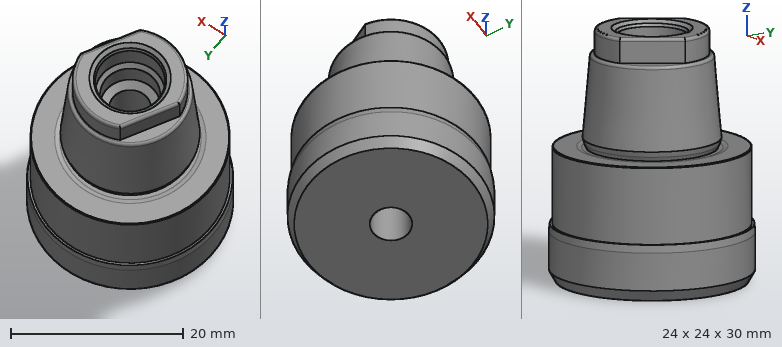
import cadquery as cq
import math

height = 29.95
base_chamfer_height = 1.35
band_top = 5.87
band_taper_top = 6.77
shoulder_height = 15.93
neck_lower_edge = 16.35
neck_widest_height = 16.98
neck_top = 26.95

base_radius = 11.23
band_radius = 12.0
band_taper_radius = 11.9
body_radius = 11.6
neck_lower_edge_radius = 7.9
neck_foot_radius = 7.67
neck_widest_radius = 8.1
neck_top_radius = 7.22
head_radius = 6.68

shoulder_chamfer = 0.12
neck_rounding = 0.4
head_rounding = 0.4

recess_outer_radius = 8.78
recess_inner_radius = 8.2
recess_depth = 0.12

flat_distance = 11.0
flat_angle = 150.0

entry_radius = 4.73
entry_neck_radius = 4.22
entry_neck_depth = 0.4
counterbore_radius = 4.05
entry_depth = 0.75
counterbore_depth = 3.45
mid_bore_radius = 3.5
mid_bore_depth = 6.6
through_radius = 2.45
drill_cone_slope = 30.0


def revolve_profile(points):
    """Revolve (radius, height) points about the Z axis."""
    return cq.Workplane("XZ").polyline(points).close().revolve(360, (0, 0), (0, 1))


def make_body():
    recess_floor = shoulder_height - recess_depth
    body = revolve_profile([
        (0, 0),
        (base_radius, 0),
        (band_radius, base_chamfer_height),
        (band_radius, band_top),
        (band_taper_radius, band_taper_top),
        (body_radius, band_taper_top),
        (body_radius, shoulder_height - shoulder_chamfer),
        (body_radius - shoulder_chamfer, shoulder_height),
        (recess_outer_radius, shoulder_height),
        (recess_inner_radius, recess_floor),
        (neck_foot_radius, recess_floor),
        (neck_lower_edge_radius, neck_lower_edge),
        (neck_widest_radius, neck_widest_height),
        (neck_top_radius, neck_top),
        (0, neck_top),
    ])
    return body.faces(">Z").edges().fillet(neck_rounding)


def make_head():
    head_height = height - neck_top
    head = cq.Workplane("XY").circle(head_radius).extrude(head_height)
    flats = cq.Workplane("XY").rect(flat_distance, 2 * head_radius).extrude(head_height)
    flats = flats.rotate((0, 0, 0), (0, 0, 1), flat_angle)
    head = head.intersect(flats).faces(">Z").edges().fillet(head_rounding)
    return head.translate((0, 0, neck_top))


def make_bore():
    step_chamfer = counterbore_radius - mid_bore_radius
    drill_cone_height = (mid_bore_radius - through_radius) * math.tan(math.radians(drill_cone_slope))
    return revolve_profile([
        (0, height),
        (entry_radius, height),
        (entry_neck_radius, height - entry_neck_depth),
        (counterbore_radius, height - entry_depth),
        (counterbore_radius, height - counterbore_depth),
        (mid_bore_radius, height - counterbore_depth - step_chamfer),
        (mid_bore_radius, height - mid_bore_depth),
        (through_radius, height - mid_bore_depth - drill_cone_height),
        (through_radius, 0),
        (0, 0),
    ])


result = make_body().union(make_head()).cut(make_bore())